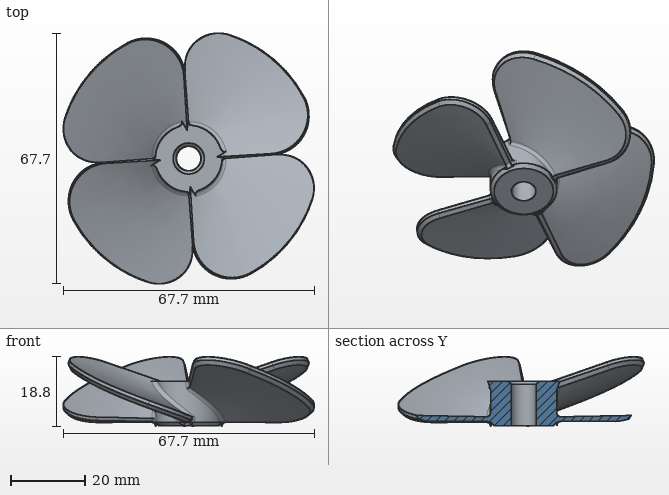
import cadquery as cq
import math

hub_radius = 9.0
hub_height = 12.1
hub_chamfer = 1.0
bore_radius = 3.3
bore_chamfer = 0.9

blade_count = 4
low_edge_height = 1.95
low_edge_angle = 95.0
blade_sweep = 92.0
rise_at_hub = 10.65
rise_per_radius = 0.35
surface_radii = (6.0, 42.0)
surface_angles = (-15.0, 110.0)
surface_steps = 12

tip_radius = 35.1
high_corner_radius = 10.4
low_corner_radius = 9.0
root_radius = 7.0
high_edge_offset = 0.4
high_edge_lean = 3.5
low_edge_offset = 0.7
low_edge_lean = 1.2

blade_thickness = 2.0
edge_chamfer = 1.0
root_fillet = 1.0

column_height = 2 * tip_radius
shaft_top = column_height
shaft_bottom = -hub_height
trim_radius = hub_radius + 1.5 * root_fillet
seam_angle = 200.0
hub_tolerance = 0.02

origin = cq.Vector(0, 0, 0)
axis = cq.Vector(0, 0, 1)


def cylinder(radius, bottom, top):
    return cq.Solid.makeCylinder(radius, top - bottom, cq.Vector(0, 0, bottom))


def surface_curve(radius):
    """Curve of the blade's top surface at one distance from the axis."""
    rise = rise_at_hub + rise_per_radius * (radius - hub_radius)
    first, last = surface_angles
    points = []
    for step in range(surface_steps + 1):
        angle = first + (last - first) * step / surface_steps
        height = low_edge_height + rise * (low_edge_angle - angle) / blade_sweep
        turn = math.radians(angle)
        points.append(cq.Vector(radius * math.cos(turn), radius * math.sin(turn), height))
    return cq.Edge.makeSpline(points)


def blade_column():
    """Upright column with the blade's outline and rounded tip corners."""
    reach = 2 * tip_radius
    run = reach - root_radius
    high_drift = run * math.tan(math.radians(high_edge_lean))
    low_drift = run * math.tan(math.radians(low_edge_lean))
    wedge = (
        cq.Workplane("XY")
        .moveTo(root_radius, high_edge_offset)
        .lineTo(reach, high_edge_offset + high_drift)
        .lineTo(reach, reach)
        .lineTo(-low_edge_offset - low_drift, reach)
        .lineTo(-low_edge_offset, root_radius)
        .close()
        .extrude(column_height)
    )
    column = wedge.intersect(cq.Workplane(obj=cylinder(tip_radius, 0, column_height)))
    high_corner = cq.selectors.NearestToPointSelector((tip_radius, 0, column_height / 2))
    low_corner = cq.selectors.NearestToPointSelector((0, tip_radius, column_height / 2))
    column = column.edges(high_corner).fillet(high_corner_radius)
    return column.edges(low_corner).fillet(low_corner_radius).val()


def make_blade():
    """Blade thickened downward from its top surface, chamfered around its underside."""
    inner, outer = surface_radii
    ramp = cq.Face.makeRuledSurface(surface_curve(inner), surface_curve(outer))
    top = ramp.intersect(blade_column()).Faces()[0]
    downward = 1 if top.normalAt().z < 0 else -1
    plate = top.thicken(downward * blade_thickness)
    broad_faces = sorted(plate.Faces(), key=lambda face: face.Area())[-2:]
    underside = min(broad_faces, key=lambda face: face.Center().z)
    return plate.chamfer(edge_chamfer, None, underside.Edges())


def is_root_edge(edge):
    """True for a curve where the blade meets the side of the shaft."""
    for fraction in (0, 0.3, 0.6, 1):
        point = edge.positionAt(fraction)
        if abs(math.hypot(point.x, point.y) - hub_radius) > hub_tolerance:
            return False
    level = abs(edge.startPoint().z - edge.endPoint().z) < hub_tolerance
    return edge.geomType() != "LINE" and not level


def blade_on_shaft(blade):
    """One blade filleted to the shaft, with the shaft cut to the hub height beside the blade."""
    shaft = cylinder(hub_radius, shaft_bottom, shaft_top).rotate(origin, axis, seam_angle)
    joined = shaft.fuse(blade)
    roots = [edge for edge in joined.Edges() if is_root_edge(edge)]
    above_hub = cylinder(trim_radius, hub_height, shaft_top).cut(blade)
    return joined.fillet(root_fillet, roots).cut(above_hub).clean()


def shape_hub(body):
    """Trims the shaft below the hub, chamfers its lower rim and drills the bore."""
    below = (
        cq.Workplane("XZ")
        .moveTo(0, 0)
        .lineTo(hub_radius - hub_chamfer, 0)
        .lineTo(hub_radius, hub_chamfer)
        .lineTo(hub_radius, 2 * shaft_bottom)
        .lineTo(0, 2 * shaft_bottom)
        .close()
        .revolve(360, (0, 0, 0), (0, 1, 0))
    )
    bore = (
        cq.Workplane("XZ")
        .lineTo(bore_radius, 0)
        .lineTo(bore_radius, hub_height - bore_chamfer)
        .lineTo(bore_radius + bore_chamfer, hub_height)
        .lineTo(0, hub_height)
        .close()
        .revolve(360, (0, 0, 0), (0, 1, 0))
    )
    return body.cut(below.val()).cut(bore.val())


first_blade = blade_on_shaft(make_blade())
propeller = first_blade
for index in range(1, blade_count):
    propeller = propeller.fuse(first_blade.rotate(origin, axis, index * 360 / blade_count))

result = cq.Workplane(obj=shape_hub(propeller).clean().Solids()[0])